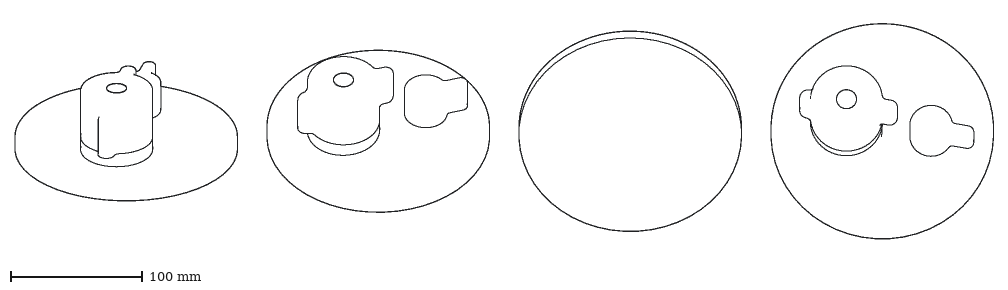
import cadquery as cq
import math

plate_radius = 85.0
plate_rim_height = 12.0
plate_crown_height = 14.1
plate_edge_fillet = 2.0

knob_y = -27.7
knob_radius = 27.5
knob_bottom = 24.5
knob_top = 66.3
knob_edge_fillet = 2.0
collar_top = 23.0
collar_edge_fillet = 1.4
neck_radius = 22.0
cap_radius = 7.6
cap_top = 66.6

lever_radius = 6.0
lever_tip_y = 11.7
lever_bottom = 35.4
lever_blend = 3.4

grip_radius = 6.3
grip_tip_y = -63.9
grip_straight_top = 53.2
grip_blend = 4.5

small_y = 37.9
small_radius = 16.3
small_bottom = 14.1
small_top = 39.5
small_lever_radius = 5.0
small_lever_tip_y = 70.9
small_blend = 3.2
small_edge_fillet = 1.0
small_neck_radius = 14.5

plate_core_height = 8.5


def cylinder(y, radius, bottom, top):
    """Upright cylinder centred on X = 0."""
    return cq.Workplane("XY").workplane(offset=bottom).center(0, y).circle(radius).extrude(top - bottom)


def radial_bar(inner_y, end_y, radius, bottom, top):
    """Upright bar from inner_y to a half-round end whose axis is at end_y."""
    block = (
        cq.Workplane("XY")
        .workplane(offset=bottom)
        .center(0, (inner_y + end_y) / 2)
        .rect(2 * radius, abs(end_y - inner_y))
        .extrude(top - bottom)
    )
    return block.union(cylinder(end_y, radius, bottom, top))


def rounded_end_bar(inner_y, end_y, radius, bottom, top, round_level):
    """Radial bar continued by a half cylinder and a sphere at round_level."""
    reach = end_y - inner_y
    tube = cq.Workplane("XZ", origin=(0, inner_y, round_level)).circle(radius).extrude(-reach)
    ball = cq.Workplane("XY").sphere(radius).translate((0, end_y, round_level))
    return radial_bar(inner_y, end_y, radius, bottom, top).union(tube).union(ball)


def joint_box(centre_y, body_radius, bar_radius, direction, bottom, top):
    """Box selector around the seam where a bar meets a round body."""
    margin = 0.2
    seam_y = centre_y + direction * math.sqrt(body_radius**2 - bar_radius**2)
    outer_y = centre_y + direction * body_radius
    low_y, high_y = sorted((seam_y, outer_y))
    half_width = bar_radius + margin
    return cq.selectors.BoxSelector(
        (-half_width, low_y - margin, bottom - margin),
        (half_width, high_y + margin, top + margin),
        boundingbox=True,
    )


def make_plate():
    mid_x = plate_radius / 2
    mid_z = plate_crown_height - (plate_crown_height - plate_rim_height) / 4
    plate = (
        cq.Workplane("XZ")
        .lineTo(plate_radius, 0)
        .lineTo(plate_radius, plate_rim_height)
        .threePointArc((mid_x, mid_z), (0, plate_crown_height))
        .close()
        .revolve(360, (0, 0), (0, 1))
    )
    rim_finder = cq.selectors.BoxSelector(
        (-plate_radius - 1.7, -plate_radius - 1.7, plate_rim_height - 0.2),
        (plate_radius + 1.7, plate_radius + 1.7, plate_rim_height + 0.2),
        boundingbox=True,
    )
    return plate.edges(rim_finder).fillet(plate_edge_fillet)


def make_large_knob():
    body = cylinder(knob_y, knob_radius, knob_bottom, knob_top)
    lever = rounded_end_bar(
        knob_y, lever_tip_y - lever_radius, lever_radius,
        lever_bottom + lever_radius, knob_top, lever_bottom + lever_radius,
    )
    grip = rounded_end_bar(
        knob_y, grip_tip_y + grip_radius, grip_radius,
        knob_bottom, grip_straight_top, grip_straight_top,
    )
    knob = body.union(lever).union(grip).clean()
    lever_joint = joint_box(knob_y, knob_radius, lever_radius, 1, lever_bottom, knob_top)
    knob = knob.edges(lever_joint).fillet(lever_blend)
    grip_joint = joint_box(
        knob_y, knob_radius, grip_radius, -1, knob_bottom, grip_straight_top + grip_radius
    )
    knob = knob.edges(grip_joint).edges("not #Z").fillet(grip_blend)
    knob = knob.faces(">Z").edges().fillet(knob_edge_fillet)
    return knob.union(cylinder(knob_y, cap_radius, knob_bottom, cap_top))


def make_collar():
    collar = cylinder(knob_y, knob_radius, plate_core_height, collar_top)
    collar = collar.faces(">Z").edges().fillet(collar_edge_fillet)
    return collar.union(cylinder(knob_y, neck_radius, plate_core_height, knob_bottom))


def make_small_knob():
    body = cylinder(small_y, small_radius, small_bottom, small_top)
    lever = radial_bar(
        small_y, small_lever_tip_y - small_lever_radius, small_lever_radius, small_bottom, small_top
    )
    knob = body.union(lever).clean()
    joint = joint_box(small_y, small_radius, small_lever_radius, 1, small_bottom, small_top)
    knob = knob.edges(joint).edges("|Z").fillet(small_blend)
    knob = knob.faces(">Z").edges().fillet(small_edge_fillet)
    return knob.union(cylinder(small_y, small_neck_radius, plate_core_height, small_bottom))


result = make_plate().union(make_collar()).union(make_large_knob()).union(make_small_knob())